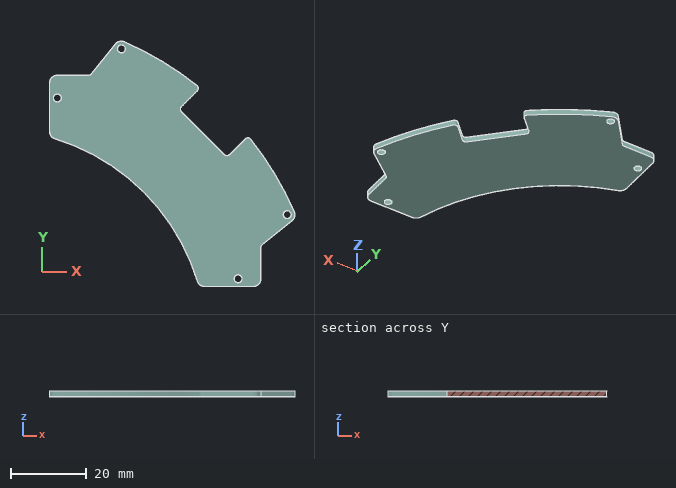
import cadquery as cq
import math

thickness = 1.6
inner_radius = 56.8
outer_radius = 87.4

tab_edge = 15.2
tab_shoulder = 71.2
elbow_offset = 26.0
slant_angle = math.radians(51.2)

notch_width = 17.95
notch_floor_radius = 79.0

corner_radius = 2.0
elbow_radius = 1.0
notch_corner_radius = 1.0

hole_diameter = 2.0
tab_hole = (17.3, 65.15)
tip_hole = (34.25, 78.15)


def mirrored(point):
    """Reflect a point about the line y = x."""
    return (point[1], point[0])


def on_diagonal(along, across):
    """Point at a distance along the mirror line and a distance to its upper left."""
    return ((along - across) / math.sqrt(2), (along + across) / math.sqrt(2))


def polar(radius, angle):
    return (radius * math.cos(angle), radius * math.sin(angle))


def slant_tip():
    """Point where the slanted edge meets the outer rim."""
    dx, dy = math.cos(slant_angle), math.sin(slant_angle)
    along = elbow_offset * dx + tab_shoulder * dy
    offset_squared = elbow_offset**2 + tab_shoulder**2 - outer_radius**2
    length = -along + math.sqrt(along**2 - offset_squared)
    return (elbow_offset + length * dx, tab_shoulder + length * dy)


tab_inner = (tab_edge, math.sqrt(inner_radius**2 - tab_edge**2))
tab_outer = (tab_edge, tab_shoulder)
elbow = (elbow_offset, tab_shoulder)
tip = slant_tip()
half_notch = notch_width / 2
notch_mouth = on_diagonal(math.sqrt(outer_radius**2 - half_notch**2), half_notch)
notch_floor = on_diagonal(notch_floor_radius, half_notch)

rim_angle = (math.atan2(tip[1], tip[0]) + math.atan2(notch_mouth[1], notch_mouth[0])) / 2
rim_middle = polar(outer_radius, rim_angle)
inner_middle = on_diagonal(inner_radius, 0)

plate = (
    cq.Workplane("XY")
    .moveTo(*tab_inner)
    .lineTo(*tab_outer)
    .lineTo(*elbow)
    .lineTo(*tip)
    .threePointArc(rim_middle, notch_mouth)
    .lineTo(*notch_floor)
    .lineTo(*mirrored(notch_floor))
    .lineTo(*mirrored(notch_mouth))
    .threePointArc(mirrored(rim_middle), mirrored(tip))
    .lineTo(*mirrored(elbow))
    .lineTo(*mirrored(tab_outer))
    .lineTo(*mirrored(tab_inner))
    .threePointArc(inner_middle, tab_inner)
    .close()
    .extrude(thickness)
)


def round_corners(body, corners, radius):
    """Fillet the upright edges at the given corners and at their mirror images."""
    for corner in corners:
        for x, y in (corner, mirrored(corner)):
            nearest = cq.selectors.NearestToPointSelector((x, y, thickness / 2))
            body = body.edges("|Z").edges(nearest).fillet(radius)
    return body


plate = round_corners(plate, [tab_inner, tab_outer, tip], corner_radius)
plate = round_corners(plate, [elbow], elbow_radius)
plate = round_corners(plate, [notch_mouth, notch_floor], notch_corner_radius)

hole_centers = [tab_hole, tip_hole, mirrored(tab_hole), mirrored(tip_hole)]
holes = cq.Workplane("XY").pushPoints(hole_centers).circle(hole_diameter / 2).extrude(thickness)

result = plate.cut(holes)